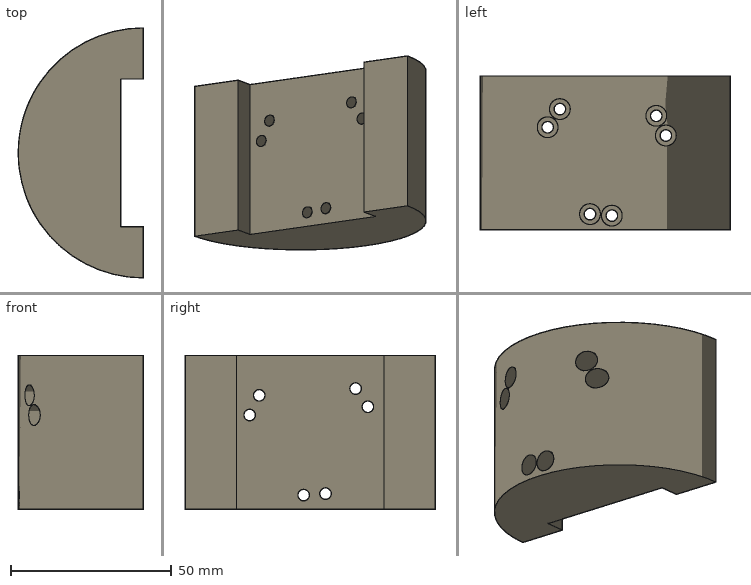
import cadquery as cq
import math

body_radius = 39.0
body_height = 48.0

channel_width = 46.0
channel_depth = 7.0

hole_diameter = 3.5
counterbore_diameter = 6.5
floor_thickness = 5.0
counterbore_floor_x = -channel_depth - floor_thickness
hole_circle_radius = 19.6
pair_count = 3
first_pair_angle = 34.0
pair_half_angle = 10.0


def half_round_body():
    return (
        cq.Workplane("XY")
        .moveTo(0, body_radius)
        .threePointArc((-body_radius, 0), (0, -body_radius))
        .close()
        .extrude(body_height)
    )


def channel():
    return (
        cq.Workplane("XY")
        .rect(2 * channel_depth, channel_width)
        .extrude(body_height)
    )


def hole_centres():
    """(Y, Z) centres of the holes; angles run from +Y towards +Z."""
    centres = []
    for pair in range(pair_count):
        pair_angle = first_pair_angle + pair * 360 / pair_count
        for offset in (-pair_half_angle, pair_half_angle):
            angle = math.radians(pair_angle + offset)
            y = hole_circle_radius * math.cos(angle)
            z = body_height / 2 + hole_circle_radius * math.sin(angle)
            centres.append((y, z))
    return centres


def holes_from_curved_side(diameter, end_x):
    """Holes entering from the curved side and running in +X to end_x."""
    return (
        cq.Workplane("YZ", origin=(-body_radius, 0, 0))
        .pushPoints(hole_centres())
        .circle(diameter / 2)
        .extrude(end_x + body_radius)
    )


result = (
    half_round_body()
    .cut(channel())
    .cut(holes_from_curved_side(hole_diameter, 0))
    .cut(holes_from_curved_side(counterbore_diameter, counterbore_floor_x))
)